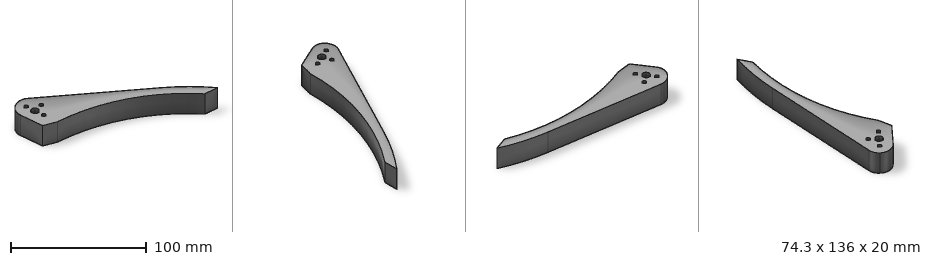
import cadquery as cq
import math

overall_length = 136.0
thickness = 20.0
hub_tilt = 18.0
arm_angle = 60.8

pivot_diameter = 6.3
screw_diameter = 3.3
screw_circle_radius = 8.0
screw_angles = (0, 90, 180)

hub_left = -15.9
hub_bottom = -10.2
hub_right = 14.3
hub_corner_radius = 10.0

back_bend = (33.9, 90.3)
tip_x = 58.5
tip_bottom = 112.2
inner_curve_middle = (37.4, 81.0)
inner_curve_start = (19.7, 6.1)


def from_hub_frame(u, v):
    """Turn a point from the tilted hub frame into part coordinates."""
    tilt = math.radians(hub_tilt)
    x = u * math.cos(tilt) - v * math.sin(tilt)
    y = u * math.sin(tilt) + v * math.cos(tilt)
    return x, y


_, lower_round_y = from_hub_frame(hub_left + hub_corner_radius, hub_bottom + hub_corner_radius)
tip_top = lower_round_y - hub_corner_radius + overall_length


def hub_upper_corner():
    """Sharp corner where the back edge line meets the left side of the hub."""
    tilt = math.radians(hub_tilt)
    edge_angle = math.radians(arm_angle - hub_tilt)
    bend_u = back_bend[0] * math.cos(tilt) + back_bend[1] * math.sin(tilt)
    bend_v = -back_bend[0] * math.sin(tilt) + back_bend[1] * math.cos(tilt)
    v = bend_v - (bend_u - hub_left) * math.tan(edge_angle)
    return from_hub_frame(hub_left, v)


def arm_body():
    """Curved arm with two rounded corners at the hub end."""
    upper_corner = hub_upper_corner()
    lower_corner = from_hub_frame(hub_left, hub_bottom)
    body = (
        cq.Workplane("XY")
        .moveTo(*upper_corner)
        .lineTo(*back_bend)
        .tangentArcPoint((tip_x, tip_top), relative=False)
        .lineTo(tip_x, tip_bottom)
        .threePointArc(inner_curve_middle, inner_curve_start)
        .lineTo(*from_hub_frame(hub_right, hub_bottom))
        .lineTo(*lower_corner)
        .close()
        .extrude(thickness)
    )
    for x, y in (upper_corner, lower_corner):
        corner_edge = cq.selectors.NearestToPointSelector((x, y, thickness / 2))
        body = body.edges("|Z").edges(corner_edge).fillet(hub_corner_radius)
    return body


def through_holes(diameter, centres):
    """Cylinders that cut through the full thickness."""
    return cq.Workplane("XY").pushPoints(centres).circle(diameter / 2).extrude(thickness)


screw_centres = [
    from_hub_frame(
        screw_circle_radius * math.cos(math.radians(angle)),
        screw_circle_radius * math.sin(math.radians(angle)),
    )
    for angle in screw_angles
]

result = (
    arm_body()
    .cut(through_holes(pivot_diameter, [(0, 0)]))
    .cut(through_holes(screw_diameter, screw_centres))
)